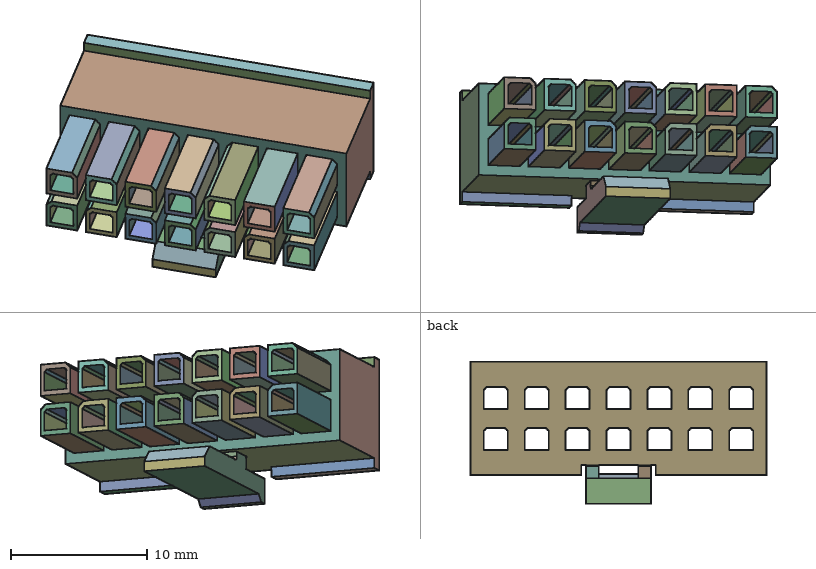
import cadquery as cq

WIDTH = 21.75
DEPTH = 14.2
HEIGHT = 10.45

BODY_DEPTH = 7.7
FLANGE_DEPTH = 1.0
FLANGE_LIP = 0.75
FLANGE_BOTTOM = 2.1
BODY_BOTTOM = FLANGE_BOTTOM + FLANGE_LIP
BODY_TOP = HEIGHT - FLANGE_LIP
BODY_MIDDLE = (BODY_BOTTOM + BODY_TOP) / 2
NOTCH_WIDTH = 5.45

PITCH = 3.0
TUBE_SIZE = 2.35
TUBE_CHAMFER = 0.4
UPPER_ROW = ["right", "right", "right", "right", "left", "none", "right"]
LOWER_ROW = ["left", "left", "right", "right", "left", "left", "left"]

CAVITY_WIDTH = 1.75
CAVITY_HEIGHT = 1.59
CAVITY_CHAMFER = 0.2
CAVITY_FLOOR = 0.37

LATCH_WIDTH = 4.8
LATCH_BACK_AT = 1.5
LATCH_FRONT_AT = 13.15
ARM_BOTTOM = 0.52
ARM_TOP_BACK = 1.9
ARM_TOP_FRONT = 2.2
HOOK_FLAT = 0.7
HOOK_RAMP = 0.48
NOSE_CHAMFER = 0.95
POST_BACK_AT = 5.11
POST_FRONT_AT = 6.9
POST_BACK_FLARE = 0.1
POST_FRONT_FLARE = 0.1
POST_FILLET = 0.3
GROOVE_WIDTH = 2.9
GROOVE_FRONT_AT = 10.92


def block(width, y_min, y_max, z_min, z_max):
    """Box centred on X = 0 between the given Y and Z limits."""
    size_y = y_max - y_min
    size_z = z_max - z_min
    return cq.Workplane("XY").box(width, size_y, size_z).translate(
        (0, (y_min + y_max) / 2, (z_min + z_max) / 2)
    )


def housing():
    """Body block and back flange, with the lower lip notched for the latch."""
    body = block(WIDTH, -BODY_DEPTH, 0, BODY_BOTTOM, BODY_TOP)
    flange = block(WIDTH, -FLANGE_DEPTH, 0, FLANGE_BOTTOM, HEIGHT)
    notch = block(NOTCH_WIDTH, -FLANGE_DEPTH, 0, FLANGE_BOTTOM, BODY_BOTTOM)
    return body.union(flange.cut(notch))


def tube(x, z, chamfered_corner):
    """Solid tube blank centred at (x, z), running from inside the body to the front."""
    half = TUBE_SIZE / 2
    blank = block(TUBE_SIZE, -DEPTH, -FLANGE_DEPTH, -half, half)
    if chamfered_corner == "right":
        blank = blank.edges("|Y and >X and >Z").chamfer(TUBE_CHAMFER)
    elif chamfered_corner == "left":
        blank = blank.edges("|Y and <X and >Z").chamfer(TUBE_CHAMFER)
    return blank.translate((x, 0, z))


def cavity(x, z):
    """Contact passage through the whole depth, with both top corners chamfered."""
    floor = -TUBE_SIZE / 2 + CAVITY_FLOOR
    passage = block(CAVITY_WIDTH, -DEPTH, 0, floor, floor + CAVITY_HEIGHT)
    passage = passage.edges("|Y and >Z").chamfer(CAVITY_CHAMFER)
    return passage.translate((x, 0, z))


def latch():
    """Hooked arm and its posts, extruded from one side profile and grooved in the middle."""
    hook_end = LATCH_BACK_AT + HOOK_FLAT
    fillet_top = ARM_TOP_FRONT + POST_FILLET
    profile = (
        cq.Workplane("YZ")
        .moveTo(-LATCH_BACK_AT, 0)
        .lineTo(-hook_end, 0)
        .lineTo(-hook_end - HOOK_RAMP, ARM_BOTTOM)
        .lineTo(-LATCH_FRONT_AT, ARM_BOTTOM)
        .lineTo(-LATCH_FRONT_AT, ARM_TOP_FRONT - NOSE_CHAMFER)
        .lineTo(-LATCH_FRONT_AT + NOSE_CHAMFER, ARM_TOP_FRONT)
        .lineTo(-POST_FRONT_AT - POST_FILLET, ARM_TOP_FRONT)
        .radiusArc((-POST_FRONT_AT, fillet_top), -POST_FILLET)
        .lineTo(-POST_FRONT_AT - POST_FRONT_FLARE, BODY_BOTTOM)
        .lineTo(-POST_BACK_AT + POST_BACK_FLARE, BODY_BOTTOM)
        .lineTo(-POST_BACK_AT, BODY_BOTTOM - POST_BACK_FLARE)
        .lineTo(-POST_BACK_AT, ARM_TOP_BACK)
        .lineTo(-LATCH_BACK_AT, ARM_TOP_BACK)
        .close()
    )
    arm = profile.extrude(LATCH_WIDTH / 2, both=True)
    groove = block(GROOVE_WIDTH, -GROOVE_FRONT_AT, -LATCH_BACK_AT, ARM_TOP_BACK, BODY_BOTTOM)
    return arm.cut(groove)


result = housing().union(latch())

rows = [(BODY_MIDDLE + PITCH / 2, UPPER_ROW), (BODY_MIDDLE - PITCH / 2, LOWER_ROW)]
for row_z, corners in rows:
    for column, corner in enumerate(corners):
        column_x = (column - (len(corners) - 1) / 2) * PITCH
        result = result.union(tube(column_x, row_z, corner))
        result = result.cut(cavity(column_x, row_z))